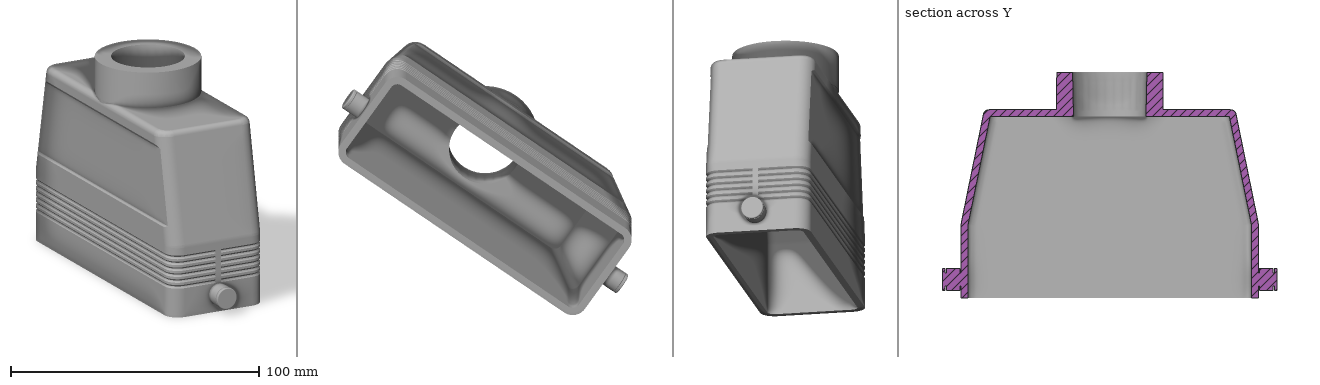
import cadquery as cq
import math

body_length = 120.0
body_width = 43.0
body_height = 76.0
top_length = 101.2
shoulder_height = 30.0
shoulder_radius = 6.0
corner_radius = 6.0
top_edge_radius = 2.5
wall = 3.0

total_height = 91.0
collar_diameter = body_width
collar_root_diameter = 42.6
bore_top_diameter = 29.8
bore_bottom_diameter = 29.0

recess_depth = 0.8
recess_bottom = 37.2
recess_top = 70.2
upper_bank_height = 1.2

groove_count = 6
groove_pitch = 2.5
groove_width = 1.5
groove_depth = 0.75
lowest_groove_height = 13.0
groove_gap = 2.5

total_length = 135.0
pin_diameter = 9.0
pin_height = 7.5
pin_core_diameter = 5.5
pin_cap_length = 1.2
pin_cap_rounding = 0.4
pin_groove_width = 0.3


def hood_block(inset):
    """House-shaped block with rounded corners, offset inwards by inset and flat at the bottom."""
    half_base = body_length / 2 - inset
    slope = math.atan2((body_length - top_length) / 2, body_height - shoulder_height)
    shoulder = shoulder_height - inset * math.tan(slope / 2)
    top = body_height - inset
    half_top = half_base - (top - shoulder) * math.tan(slope)
    width = body_width - 2 * inset
    outline = [
        (-half_base, 0),
        (half_base, 0),
        (half_base, shoulder),
        (half_top, top),
        (-half_top, top),
        (-half_base, shoulder),
    ]
    block = cq.Workplane("XZ").polyline(outline).close().extrude(width / 2, both=True)
    below_top = cq.selectors.BoxSelector(
        (-body_length, -body_width, shoulder / 2),
        (body_length, body_width, (shoulder + top) / 2),
    )
    block = block.edges("|Y").edges(below_top).fillet(shoulder_radius)
    side_edges = block.faces("<Y or >Y").edges("not(<Z or >Z)")
    return side_edges.fillet(corner_radius - inset)


def side_recess():
    """Cutter for the recess of the -Y side, with sloping banks at its bottom and top."""
    face = -body_width / 2
    floor = face + recess_depth
    profile = [
        (face, recess_bottom),
        (floor, recess_bottom + recess_depth),
        (floor, recess_top - upper_bank_height),
        (face, recess_top),
    ]
    return cq.Workplane("YZ").polyline(profile).close().extrude(body_length / 2, both=True)


def body_section(height, inset):
    """Rounded rectangle of the lower body at a height, offset inwards by inset."""
    sketch = (
        cq.Sketch()
        .rect(body_length - 2 * inset, body_width - 2 * inset)
        .vertices()
        .fillet(corner_radius - inset)
    )
    return cq.Workplane("XY").workplane(offset=height).placeSketch(sketch)


def groove_half(height, direction):
    """Wedge-shaped half ring from the bottom of the V at height to the body surface."""
    taper = math.degrees(math.atan2(groove_depth, groove_width / 2))
    thickness = direction * groove_width / 2
    band = body_section(height, 0).extrude(thickness)
    core = body_section(height, groove_depth).extrude(thickness, taper=-taper)
    return band.cut(core)


def end_gap():
    """Strip across the middle of both ends that stays free of grooves."""
    return cq.Workplane("XY").box(2 * body_length, groove_gap, 2 * body_height)


def pin(side):
    """Locking pin: a core carrying a roller and a rounded end cap; side is -1 or +1 along X.

    Narrow grooves separate the roller from the body and from the cap.
    """
    face = body_length / 2
    tip = total_length / 2
    cap_start = tip - pin_cap_length
    roller_start = face + pin_groove_width
    roller_length = cap_start - pin_groove_width - roller_start

    core = cq.Workplane("YZ").workplane(offset=face - wall)
    core = core.circle(pin_core_diameter / 2).extrude(tip - face + wall)
    roller = cq.Workplane("YZ").workplane(offset=roller_start)
    roller = roller.circle(pin_diameter / 2).extrude(roller_length)
    cap = cq.Workplane("YZ").workplane(offset=cap_start)
    cap = cap.circle(pin_diameter / 2).extrude(pin_cap_length)
    cap = cap.faces(">X").edges().fillet(pin_cap_rounding)

    assembled = core.union(roller).union(cap).translate((0, 0, pin_height))
    return assembled if side > 0 else assembled.mirror("YZ")


def collar():
    """Collar above the top face, with a slightly narrower root filling in the rounded top edges."""
    rim = cq.Workplane("XY").workplane(offset=body_height)
    rim = rim.circle(collar_diameter / 2).extrude(total_height - body_height)
    root = cq.Workplane("XY").workplane(offset=body_height - top_edge_radius)
    root = root.circle(collar_root_diameter / 2).extrude(top_edge_radius)
    return rim.union(root)


def bore():
    """Slightly tapered bore from the collar rim down to the cavity ceiling."""
    depth = total_height - (body_height - wall)
    return (
        cq.Workplane("XY")
        .workplane(offset=total_height)
        .circle(bore_top_diameter / 2)
        .workplane(offset=-depth)
        .circle(bore_bottom_diameter / 2)
        .loft(ruled=True)
    )


hood = hood_block(0).faces(">Z").edges().fillet(top_edge_radius)

recess = side_recess()
hood = hood.cut(recess).cut(recess.mirror("XZ"))

for index in range(groove_count):
    groove_height = lowest_groove_height + index * groove_pitch
    for direction in (-1, 1):
        hood = hood.cut(groove_half(groove_height, direction).cut(end_gap()))

hood = hood.union(collar())
for side in (-1, 1):
    hood = hood.union(pin(side))

result = hood.cut(hood_block(wall)).cut(bore())